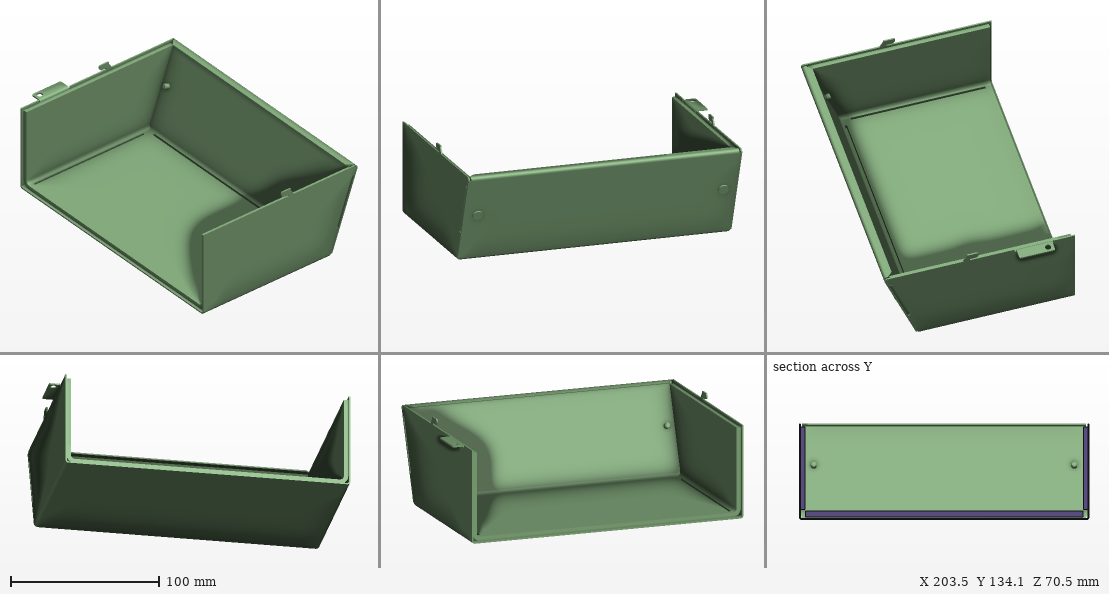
import cadquery as cq
import math

WIDTH = 195.5
HEIGHT = 65.0
BASE_DEPTH = 111.3
BACK_TILT = 20.0

SHEET = 1.0
SHEET_INNER_BEND = 1.0
SHEET_OUTER_BEND = SHEET + SHEET_INNER_BEND
SEAM = 0.2
LIP_DEPTH = 6.5
LIP_MITRE = 3.7

FLANGE_START = 22.4
FLANGE_END = 59.8
FLANGE_MIDDLE = (FLANGE_START + FLANGE_END) / 2
FLANGE_REACH = 3.9
FLANGE_RELIEF = 0.6

HOOK_HEIGHT = 5.5
HOOK_TIP_Y = 68.0
HOOK_THROAT_Y = 74.0
HOOK_BACK_Y = 76.1
HOOK_ROOT_Y = 78.8
HOOK_THROAT = 1.2
HOOK_SLOPE_HEIGHT = 4.3
HOOK_TOP_RADIUS = 1.2
HOOK_UNDER_RADIUS = 2.5

TAB_REACH = 8.0
TAB_FRONT_Y = 16.3
TAB_BACK_Y = 41.5
TAB_CORNER = 1.0
TAB_RELIEF = 1.0
TAB_HOLE_DIAMETER = 4.3
TAB_HOLE_X = -4.3
TAB_HOLE_INSET = 4.0
TAB_HOLE_Y = TAB_FRONT_Y + TAB_HOLE_INSET

LINER = 3.0
LINER_INNER_BEND = 2.8
LINER_OUTER_BEND = LINER + LINER_INNER_BEND
LINER_FRONT = 2.0
LINER_DROP = 2.0
LINER_TOP = HEIGHT - LINER_DROP
WALL = SHEET + LINER
BEND_END = WALL + LINER_INNER_BEND

SLOT_WIDTH = 1.6
SLOT_INSET = 1.2
SIDE_SLOT_FRONT_Y = 6.3
SIDE_SLOT_BACK_Y = 101.1
BACK_SLOT_END_X = 11.8

STUD_DIAMETER = 4.0
STUD_PROTRUSION = 3.9
STUD_CHAMFER = 0.6
STUD_HEAD_DIAMETER = 7.0
STUD_HEAD_HEIGHT = 1.2
STUD_SIDE_OFFSET = 10.0
STUD_UP_SLOPE = 37.0

TILT = math.radians(BACK_TILT)
MARGIN = 10.2


def slope_point(up, depth):
    """(y, z) a distance up the outer back face and a depth into the housing."""
    y = BASE_DEPTH + up * math.sin(TILT) - depth * math.cos(TILT)
    z = up * math.cos(TILT) + depth * math.sin(TILT)
    return y, z


def back_y(depth, z):
    """y of the plane parallel to the outer back face, at a depth and a height."""
    return BASE_DEPTH + z * math.tan(TILT) - depth / math.cos(TILT)


def prism(points, x_start, x_end):
    """A (y, z) polygon extruded along X."""
    return cq.Workplane("YZ", origin=(x_start, 0, 0)).polyline(points).close().extrude(x_end - x_start)


def block(x_range, y_range, z_range):
    size = [end - start for start, end in (x_range, y_range, z_range)]
    return cq.Workplane("XY").box(*size, centered=False).translate((x_range[0], y_range[0], z_range[0]))


def wedge(x_start, x_end, inset, top, floor_bend, top_bend=0.0):
    """Space inside the housing at an inset from its floor and back, with rounded back edges."""
    points = [(0, inset), (back_y(inset, inset), inset), (back_y(inset, top), top), (0, top)]
    body = prism(points, x_start, x_end).faces("<Z").edges(">Y").fillet(floor_bend)
    if top_bend:
        body = body.faces(">Z").edges(">Y").fillet(top_bend)
    return body


def channel(inset, thickness, inner_bend, front, top):
    """U channel along Y: a floor and two side walls with bent lower edges."""
    length = 2 * BASE_DEPTH

    def trough(margin, radius):
        box = block((margin, WIDTH - margin), (front, length), (margin, HEIGHT + MARGIN))
        return box.edges("|Y and <Z").fillet(radius)

    bent = trough(inset, inner_bend + thickness).cut(trough(inset + thickness, inner_bend))
    return bent.intersect(block((0, WIDTH), (front, length), (0, top)))


def mirrored(body):
    """The body as it appears at the opposite side wall."""
    return body.mirror("YZ").translate((WIDTH, 0, 0))



BEND_CENTRE_Z = HEIGHT - SHEET_OUTER_BEND
BEND_CENTRE_Y = back_y(SHEET_OUTER_BEND, BEND_CENTRE_Z)
REAR_Y = BEND_CENTRE_Y + SHEET_OUTER_BEND
LIP_BEND_Z = BEND_CENTRE_Z - SHEET_OUTER_BEND * math.sin(TILT)


def shell_cavity(x_start, x_end):
    """Space enclosed by the floor, back wall and lip of the shell."""
    return wedge(x_start, x_end, SHEET, HEIGHT - SHEET, SHEET_INNER_BEND, SHEET_INNER_BEND)


def shell_back():
    """Back wall with the bend to the floor, the bent lip along its top and a bent ear at each end."""
    outside = wedge(0, WIDTH, 0, HEIGHT, SHEET_OUTER_BEND, SHEET_OUTER_BEND)
    sheet = outside.cut(shell_cavity(0, WIDTH))

    lip_edge = REAR_Y - LIP_DEPTH
    bend_x = (SHEET_OUTER_BEND, WIDTH - SHEET_OUTER_BEND)
    wall = sheet.intersect(block((0, WIDTH), (0, REAR_Y), (SHEET_OUTER_BEND, LIP_BEND_Z)))
    floor = sheet.intersect(block(bend_x, (0, REAR_Y), (0, SHEET_OUTER_BEND)))
    lip = sheet.intersect(block(bend_x, (lip_edge, REAR_Y), (LIP_BEND_Z, HEIGHT)))
    ear = sheet.intersect(block((0, SHEET), (BEND_CENTRE_Y, REAR_Y), (LIP_BEND_Z, HEIGHT)))
    lip = lip.faces("<Y").edges("|Z").chamfer(LIP_MITRE)
    return wall.union(floor).union(lip).union(ear).union(mirrored(ear))


def shell_sides():
    """Floor and side walls, stopping a seam short of the back wall and its bent ears."""
    depth = SHEET + SEAM
    room = prism([(0, 0), (back_y(depth, 0), 0), (back_y(depth, HEIGHT), HEIGHT), (0, HEIGHT)], 0, WIDTH)
    seam_bend = SHEET_INNER_BEND - SEAM
    under_ears = wedge(0, WIDTH, depth, HEIGHT - depth, seam_bend, seam_bend)
    ear_zone = block((0, WIDTH), (BEND_CENTRE_Y - SEAM, REAR_Y), (LIP_BEND_Z, HEIGHT)).cut(under_ears)
    return channel(0, SHEET, SHEET_INNER_BEND, 0, HEIGHT).intersect(room).cut(ear_zone)


def slope_strip(start, end, near_depth, far_depth, x_end):
    """Block along the left end of the back wall, square to its slope."""
    corners = [(start, near_depth), (end, near_depth), (end, far_depth), (start, far_depth)]
    return prism([slope_point(*corner) for corner in corners], 0, x_end)


def corner_flange():
    """Left corner flange with its bend, joined to the side wall."""
    near = SHEET + SEAM
    far = near + 2 * SHEET_OUTER_BEND
    outside = slope_strip(FLANGE_START, FLANGE_END, near, far, FLANGE_REACH)
    outer_corner = (0, *slope_point(FLANGE_MIDDLE, near))
    outside = outside.edges(cq.NearestToPointSelector(outer_corner)).fillet(SHEET_OUTER_BEND)
    inside = slope_strip(FLANGE_START, FLANGE_END, near + SHEET, far, FLANGE_REACH).translate((SHEET, 0, 0))
    inner_corner = (SHEET, *slope_point(FLANGE_MIDDLE, near + SHEET))
    inside = inside.edges(cq.NearestToPointSelector(inner_corner)).fillet(SHEET_INNER_BEND)
    return outside.cut(inside)


def corner_opening():
    """Space cleared in the left wall for the flange bend and its two relief slots."""
    near = SHEET + SEAM
    start = FLANGE_START - FLANGE_RELIEF
    end = FLANGE_END + FLANGE_RELIEF
    return slope_strip(start, end, near, near + SHEET_OUTER_BEND, SHEET)


def hook():
    """Hook standing on the left wall and opening toward the front."""
    root = HEIGHT - SHEET
    top = HEIGHT + HOOK_HEIGHT
    under = HEIGHT + HOOK_THROAT
    points = [
        (HOOK_THROAT_Y, root),
        (HOOK_ROOT_Y, root),
        (HOOK_ROOT_Y, HEIGHT),
        (HOOK_BACK_Y, HEIGHT + HOOK_SLOPE_HEIGHT),
        (HOOK_BACK_Y, top),
        (HOOK_TIP_Y, top),
        (HOOK_TIP_Y, under),
        (HOOK_THROAT_Y, under),
    ]
    body = prism(points, 0, SHEET)
    body = body.faces("<Y").edges(">Z").fillet(HOOK_TOP_RADIUS)
    return body.faces("<Y").edges("<Z").fillet(HOOK_UNDER_RADIUS)


def tab_opening():
    """Notch in the left wall for the tab bend and the relief slots at its ends."""
    y_range = (TAB_FRONT_Y - TAB_RELIEF, TAB_BACK_Y + TAB_RELIEF)
    return block((0, SHEET), y_range, (HEIGHT - SHEET_OUTER_BEND, HEIGHT))


def mounting_tab():
    """Tab bent outward from the top of the left wall, with one hole."""
    y_range = (TAB_FRONT_Y, TAB_BACK_Y)
    bend_z = HEIGHT - SHEET_OUTER_BEND
    outside = block((-TAB_REACH, SHEET), y_range, (bend_z - SHEET, HEIGHT))
    outside = outside.edges("|Y and >X and >Z").fillet(SHEET_OUTER_BEND)
    outside = outside.edges("|Z and <X").fillet(TAB_CORNER)
    inside = block((-TAB_REACH, 0), y_range, (bend_z - MARGIN, HEIGHT - SHEET))
    inside = inside.edges("|Y and >X and >Z").fillet(SHEET_INNER_BEND)
    hole = (
        cq.Workplane("XY", origin=(TAB_HOLE_X, TAB_HOLE_Y, bend_z))
        .circle(TAB_HOLE_DIAMETER / 2)
        .extrude(SHEET_OUTER_BEND)
    )
    return outside.cut(inside).cut(hole)


def make_shell():
    flange = corner_flange()
    opening = corner_opening()
    sides = shell_sides().cut(opening).cut(mirrored(opening)).cut(tab_opening())
    shell = sides.union(shell_back())
    for feature in (flange, hook()):
        shell = shell.union(feature).union(mirrored(feature))
    return shell.union(mounting_tab())



LINER_BEND_Y = back_y(WALL, WALL) - LINER_INNER_BEND * math.tan((math.pi / 2 - TILT) / 2)


def liner_sides():
    """Floor and side walls, stopping a seam short of the back panel."""
    depth = WALL + SEAM
    room = prism(
        [(0, 0), (back_y(depth, 0), 0), (back_y(depth, LINER_TOP), LINER_TOP), (0, LINER_TOP)], 0, WIDTH
    )
    return channel(SHEET, LINER, LINER_INNER_BEND, LINER_FRONT, LINER_TOP).intersect(room)


def liner_back():
    """Back panel between the side walls, with its bend to the floor."""
    x_range = (WALL, WIDTH - WALL)
    outside = wedge(*x_range, SHEET, LINER_TOP, LINER_OUTER_BEND)
    inside = wedge(*x_range, WALL, LINER_TOP + MARGIN, LINER_INNER_BEND)
    panel = outside.cut(inside).intersect(block(x_range, (LINER_BEND_Y, REAR_Y), (0, LINER_TOP)))
    return panel.intersect(shell_cavity(*x_range))


def make_liner():
    liner = liner_sides().union(liner_back())
    slot_z = (0, BEND_END)
    slot_edge = BEND_END + SLOT_INSET
    side_slot = block((slot_edge - SLOT_WIDTH, slot_edge), (SIDE_SLOT_FRONT_Y, SIDE_SLOT_BACK_Y), slot_z)
    back_slot_y = LINER_BEND_Y - SLOT_INSET
    back_slot = block(
        (BACK_SLOT_END_X, WIDTH - BACK_SLOT_END_X), (back_slot_y, back_slot_y + SLOT_WIDTH), slot_z
    )
    return liner.cut(side_slot).cut(mirrored(side_slot)).cut(back_slot)




def make_stud(x):
    """Stud with its head against the outer back face, pointing into the housing."""
    outer_face = cq.Plane(
        origin=(x, *slope_point(STUD_UP_SLOPE, 0)),
        xDir=(1, 0, 0),
        normal=(0, -math.cos(TILT), math.sin(TILT)),
    )
    shank = cq.Workplane(outer_face).circle(STUD_DIAMETER / 2).extrude(WALL + STUD_PROTRUSION)
    shank = shank.faces(">Z").chamfer(STUD_CHAMFER)
    head = cq.Workplane(outer_face).circle(STUD_HEAD_DIAMETER / 2).extrude(-STUD_HEAD_HEIGHT)
    return shank.union(head)


shell = make_shell()
liner = make_liner()
studs = [make_stud(x) for x in (STUD_SIDE_OFFSET, WIDTH - STUD_SIDE_OFFSET)]
for stud in studs:
    shell = shell.cut(stud)
    liner = liner.cut(stud)

bodies = [body.solids().val() for body in (shell, liner, *studs)]
result = cq.Compound.makeCompound(bodies)